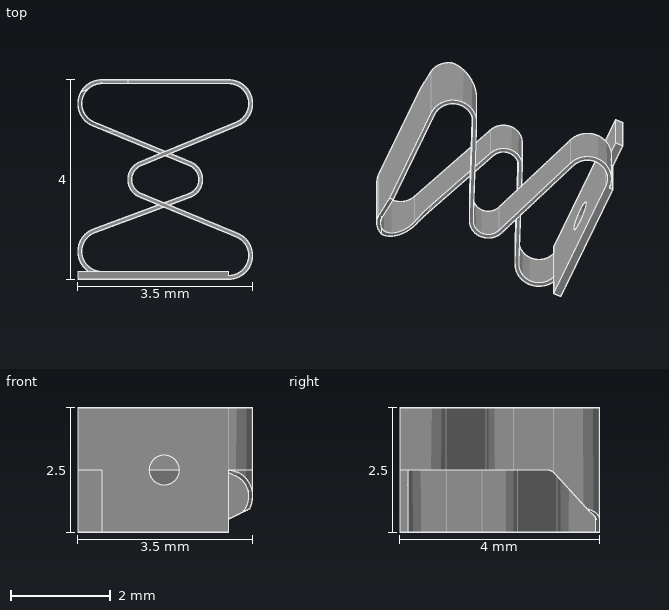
import math
import cadquery as cq

width = 3.5
depth = 4.0
height = 2.5
thickness = 0.08
bend_inner_radius = 0.4
loop_inner_radius = 0.3
loop_reach = 0.75
hole_diameter = 0.6
hole_x = -0.02
ramp_start_x = 0.745
plate_ramp_slope = 0.5
bend_ramp_slope = 1.09
ramp_foot_y = 1.035
ramp_foot_radius = 0.17

half_width = width / 2
half_depth = depth / 2
half_height = height / 2
bend_radius = bend_inner_radius + thickness / 2
loop_radius = loop_inner_radius + thickness / 2
bend_x = half_width - bend_inner_radius - thickness
bend_offset = bend_inner_radius + thickness
back_bend_y = half_depth - bend_offset
loop_x = -loop_reach + loop_inner_radius + thickness


def leg_angle(bend_y):
    """Tilt from X of the leg tangent to a bend and to the loop at Y = 0."""
    run = bend_x - loop_x
    rise = abs(bend_y)
    spread = math.asin((bend_radius + loop_radius) / math.hypot(run, rise))
    return math.atan2(rise, run) - spread


def polar(x, y, radius, angle):
    return (x + radius * math.cos(angle), y + radius * math.sin(angle))


def bend_points(bend_y, side):
    """Plate end, middle and leg end of a bend edge; side is +1 outside, -1 inside."""
    toward_plate = math.copysign(1, bend_y)
    radius = bend_radius + side * thickness / 2
    tilt = leg_angle(bend_y)
    angles = (math.pi / 2, tilt / 2, tilt - math.pi / 2)
    return [polar(bend_x, bend_y, radius, toward_plate * angle) for angle in angles]


def loop_points(front_bend_y, side):
    """Back end, middle and front end of a loop edge on the given side of the strip."""
    radius = loop_radius - side * thickness / 2
    back_angle = math.pi / 2 + leg_angle(back_bend_y)
    front_angle = -math.pi / 2 - leg_angle(front_bend_y)
    return [polar(loop_x, 0, radius, angle) for angle in (back_angle, math.pi, front_angle)]


def serpentine(front_bend_y):
    """Half-height spring strip with bends at +X and its loop at -X, above mid-height."""
    back_out, back_in = (bend_points(back_bend_y, side) for side in (1, -1))
    loop_out, loop_in = (loop_points(front_bend_y, side) for side in (1, -1))
    front_out, front_in = (bend_points(front_bend_y, side) for side in (1, -1))
    return (
        cq.Workplane("XY")
        .moveTo(*back_out[0])
        .threePointArc(back_out[1], back_out[2])
        .lineTo(*loop_out[0])
        .threePointArc(loop_out[1], loop_out[2])
        .lineTo(*front_out[2])
        .threePointArc(front_out[1], front_out[0])
        .lineTo(*front_in[0])
        .threePointArc(front_in[1], front_in[2])
        .lineTo(*loop_in[2])
        .threePointArc(loop_in[1], loop_in[0])
        .lineTo(*back_in[2])
        .threePointArc(back_in[1], back_in[0])
        .close()
        .extrude(half_height)
    )


def block(x_range, y_range, z_range):
    size = [high - low for low, high in (x_range, y_range, z_range)]
    return cq.Workplane("XY").box(*size, centered=False).translate(
        (x_range[0], y_range[0], z_range[0])
    )


def half_turn(body):
    """Turn a body about Y, swapping left with right and top with bottom."""
    return body.rotate((0, 0, 0), (0, 1, 0), 180)


def back_gusset():
    """Sloped lower edge that carries the back plate round the +X bend into its leg."""
    back_y = half_depth - thickness
    out = bend_points(back_bend_y, 1)
    inner = bend_points(back_bend_y, -1)
    loop_out = loop_points(-back_bend_y, 1)
    loop_in = loop_points(-back_bend_y, -1)
    wall = (
        cq.Workplane("XY")
        .workplane(offset=-half_height)
        .moveTo(ramp_start_x, half_depth)
        .lineTo(*out[0])
        .threePointArc(out[1], out[2])
        .lineTo(*loop_out[0])
        .lineTo(*loop_in[0])
        .lineTo(*inner[2])
        .threePointArc(inner[1], inner[0])
        .lineTo(ramp_start_x, back_y)
        .close()
        .extrude(half_height)
    )
    ramp_end_z = -half_height + plate_ramp_slope * (half_width - ramp_start_x)
    plate_ramp = (
        cq.Workplane("XZ")
        .polyline([
            (ramp_start_x, 0),
            (ramp_start_x, -half_height),
            (half_width, ramp_end_z),
            (half_width, 0),
        ])
        .close()
        .extrude(-half_depth)
    )
    ramp_angle = math.atan(bend_ramp_slope)
    foot_length = ramp_foot_radius * math.tan(ramp_angle / 2)
    arc_start_y = ramp_foot_y - foot_length
    arc_mid = polar(arc_start_y, -ramp_foot_radius, ramp_foot_radius, math.pi / 2 - ramp_angle / 2)
    arc_end = polar(arc_start_y, -ramp_foot_radius, ramp_foot_radius, math.pi / 2 - ramp_angle)
    ramp_back_z = -bend_ramp_slope * (half_depth - ramp_foot_y)
    bend_ramp = (
        cq.Workplane("YZ")
        .moveTo(arc_start_y, 0)
        .threePointArc(arc_mid, arc_end)
        .lineTo(half_depth, ramp_back_z)
        .lineTo(half_depth, 0)
        .close()
        .extrude(half_width)
    )
    plate_zone = block((0, bend_x), (back_y, half_depth), (-half_height, 0))
    return wall.intersect(plate_ramp).intersect(bend_ramp.union(plate_zone))


def front_plate(outer_y):
    """Front plate with a half-height tab above mid-height at -X."""
    y_range = (outer_y, outer_y + thickness)
    plate = block((-bend_x, bend_x), y_range, (-half_height, half_height))
    tab = block((-half_width, -bend_x), y_range, (0, half_height))
    return plate.union(tab)


outer_plate_y = -half_depth
inner_plate_y = outer_plate_y + thickness
upper_strip = serpentine(outer_plate_y + bend_offset)
lower_strip = half_turn(serpentine(inner_plate_y + bend_offset))

back_range = (half_depth - thickness, half_depth)
back_plate = (
    block((-ramp_start_x, ramp_start_x), back_range, (-half_height, half_height))
    .union(block((ramp_start_x, bend_x), back_range, (0, half_height)))
    .union(block((-bend_x, -ramp_start_x), back_range, (-half_height, 0)))
)

hole_tool = (
    cq.Workplane("XZ", origin=(hole_x, outer_plate_y, 0))
    .circle(hole_diameter / 2)
    .extrude(-2 * thickness)
)
front_plates = front_plate(outer_plate_y).union(front_plate(inner_plate_y)).cut(hole_tool)

gusset = back_gusset()
result = (
    back_plate
    .union(upper_strip)
    .union(lower_strip)
    .union(gusset)
    .union(half_turn(gusset))
    .union(front_plates)
)